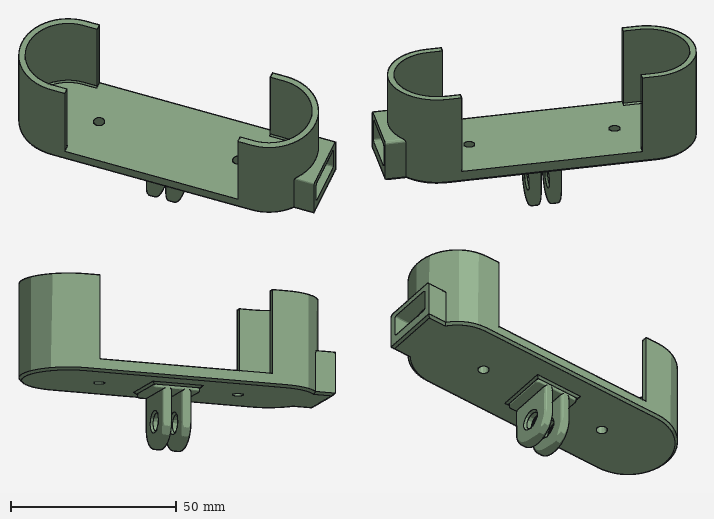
import cadquery as cq
total_length = 98.0
tray_width = 30.0
port_overhang = 3.0
tray_length = total_length - port_overhang
tray_height = 30.0
floor_thickness = 3.9
wall_thickness = 2.0
window_length = 56.0
bottom_chamfer = 0.8
wall_foot_chamfer = 0.5

port_width = 19.0
port_height = 13.7
port_wall = 2.0
port_corner_radius = 1.0
port_opening_width = port_width - 2 * port_wall
port_opening_height = port_height - port_wall - floor_thickness
port_start = tray_length / 2 - tray_width / 2
port_length = tray_length / 2 + port_overhang - port_start

screw_hole_diameter = 3.3
screw_hole_spacing = 45.0

total_height = 49.0
mount_drop = total_height - tray_height
mount_width = 15.0
mount_plate_thickness = 2.0
mount_flare = 0.7
mount_corner_radius = 1.0
mount_edge_radius = 0.6
prong_thickness = 3.0
prong_edge_radius = 0.8
prong_spacing = 6.3
pivot_diameter = 5.5
pivot_chamfer = 0.7
pivot_height = 8.4 - mount_drop


def make_tray_body():
    """Rounded-end block joined to the port block, chamfered around its underside."""
    block = cq.Workplane("XY").slot2D(tray_length, tray_width).extrude(tray_height)
    port = (
        cq.Workplane("XY")
        .box(port_length, port_width, port_height, centered=(False, True, False))
        .edges("|X and >Z")
        .fillet(port_corner_radius)
        .translate((port_start, 0, 0))
    )
    return block.union(port).faces("<Z").chamfer(bottom_chamfer)


def make_cavity():
    """Space inside the end walls, narrowed by a chamfer at their feet."""
    return (
        cq.Workplane("XY", origin=(0, 0, floor_thickness))
        .slot2D(tray_length - 2 * wall_thickness, tray_width - 2 * wall_thickness)
        .extrude(tray_height)
        .faces("<Z")
        .chamfer(wall_foot_chamfer)
    )


def make_window():
    """Full-width gap between the two end walls."""
    return (
        cq.Workplane("XY", origin=(0, 0, floor_thickness))
        .box(window_length, tray_width, tray_height, centered=(True, True, False))
    )


def make_port_opening():
    """Rounded rectangular passage, level with the floor, out through the port block."""
    return (
        cq.Workplane("XY")
        .box(port_length, port_opening_width, port_opening_height, centered=(False, True, False))
        .edges("|X")
        .fillet(port_corner_radius)
        .translate((port_start, 0, floor_thickness))
    )


def make_screw_holes():
    half_spacing = screw_hole_spacing / 2
    return (
        cq.Workplane("XY")
        .pushPoints([(-half_spacing, 0), (half_spacing, 0)])
        .circle(screw_hole_diameter / 2)
        .extrude(floor_thickness)
    )


def make_prong(x_center):
    """Upright tongue with a round lower end and rounded edges."""
    radius = mount_width / 2
    arc_height = radius - mount_drop
    return (
        cq.Workplane("YZ", origin=(x_center - prong_thickness / 2, 0, 0))
        .moveTo(-radius, 0)
        .lineTo(-radius, arc_height)
        .threePointArc((0, -mount_drop), (radius, arc_height))
        .lineTo(radius, 0)
        .close()
        .extrude(prong_thickness)
        .faces("<X or >X")
        .edges("not >Z")
        .fillet(prong_edge_radius)
    )


def make_pivot_cutter(x_center):
    """Pivot hole through one prong, countersunk on both faces."""
    side_x = x_center - prong_thickness / 2
    radius = pivot_diameter / 2
    wide_radius = radius + pivot_chamfer
    return (
        cq.Workplane("XY")
        .moveTo(side_x, 0)
        .lineTo(side_x, wide_radius)
        .lineTo(side_x + pivot_chamfer, radius)
        .lineTo(side_x + prong_thickness - pivot_chamfer, radius)
        .lineTo(side_x + prong_thickness, wide_radius)
        .lineTo(side_x + prong_thickness, 0)
        .close()
        .revolve(360, (0, 0, 0), (1, 0, 0))
        .translate((0, 0, pivot_height))
    )


def make_mount():
    """Square plate with a flared top, carrying the two prongs."""
    mount = (
        cq.Workplane("XY")
        .rect(mount_width, mount_width)
        .extrude(-mount_plate_thickness)
        .edges("|Z")
        .fillet(mount_corner_radius)
        .faces("<Z")
        .edges()
        .fillet(mount_edge_radius)
    )
    flare_width = mount_width + 2 * mount_flare
    flare = (
        cq.Workplane("XY")
        .rect(flare_width, flare_width)
        .workplane(offset=-mount_flare)
        .rect(mount_width, mount_width)
        .loft()
    )
    mount = mount.union(flare)
    for side in (-1, 1):
        x_center = side * prong_spacing / 2
        mount = mount.union(make_prong(x_center)).cut(make_pivot_cutter(x_center))
    return mount


tray = make_tray_body().cut(make_cavity()).cut(make_window()).cut(make_port_opening())
result = tray.union(make_mount()).cut(make_screw_holes())